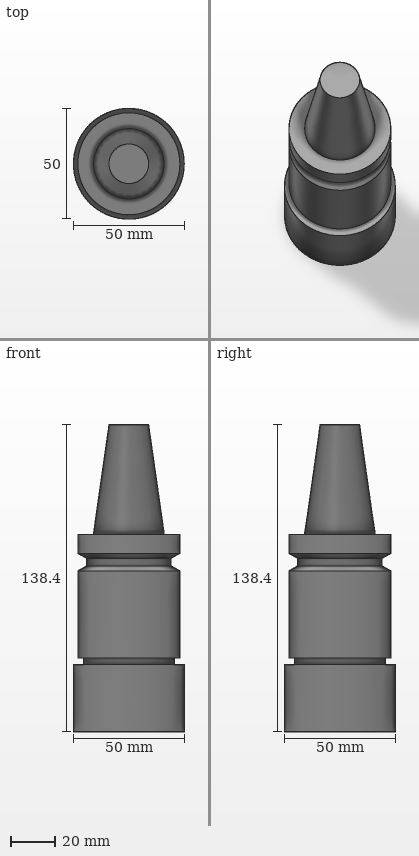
import cadquery as cq

total_height = 138.4

nut_diameter = 50.0
nut_height = 30.3

collar_diameter = 41.0
body_diameter = 46.0
neck_diameter = 38.0
taper_large_diameter = 31.7
taper_small_diameter = 17.9

collar_height = 2.9
body_height = 39.3
body_cone_height = 2.2
neck_height = 3.5
flange_cone_height = 2.2
flange_rim_height = 8.6
taper_base_height = 1.0

collar_top = nut_height + collar_height
body_top = collar_top + body_height
neck_bottom = body_top + body_cone_height
neck_top = neck_bottom + neck_height
rim_bottom = neck_top + flange_cone_height
flange_top = rim_bottom + flange_rim_height
taper_bottom = flange_top + taper_base_height


def make_nut():
    """Plain cylindrical clamping nut below the holder."""
    return cq.Workplane("XY").circle(nut_diameter / 2).extrude(nut_height)


def make_holder():
    """Holder with collar, body, gripper groove, flange and taper shank, revolved about Z."""
    collar_radius = collar_diameter / 2
    body_radius = body_diameter / 2
    neck_radius = neck_diameter / 2
    taper_large_radius = taper_large_diameter / 2
    taper_small_radius = taper_small_diameter / 2
    profile = [
        (0, nut_height),
        (collar_radius, nut_height),
        (collar_radius, collar_top),
        (body_radius, collar_top),
        (body_radius, body_top),
        (neck_radius, neck_bottom),
        (neck_radius, neck_top),
        (body_radius, rim_bottom),
        (body_radius, flange_top),
        (taper_large_radius, flange_top),
        (taper_large_radius, taper_bottom),
        (taper_small_radius, total_height),
        (0, total_height),
    ]
    return cq.Workplane("XZ").polyline(profile).close().revolve(360, (0, 0, 0), (0, 1, 0))


nut = make_nut()
holder = make_holder()

result = cq.Compound.makeCompound([nut.val(), holder.val()])